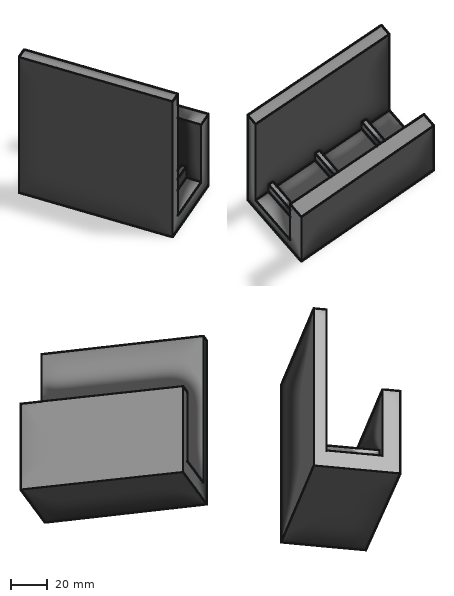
import cadquery as cq

length = 92.0
height = 97.0

front_wall = 7.2
channel_width = 31.0
floor_thickness = 10.0
back_wall_height = 50.9

back_wall_thin = 8.9
back_wall_thick = 10.0

rib_count = 3
rib_thickness = 3.0
rib_height = 8.0
rib_pitch = 32.0
first_rib_x = 16.0

channel_back = front_wall + channel_width


def make_body():
    """Tapered base block with the tall front wall and the open channel."""
    base = (
        cq.Workplane("XY")
        .polyline([
            (0, 0),
            (length, 0),
            (length, channel_back + back_wall_thick),
            (0, channel_back + back_wall_thin),
        ])
        .close()
        .extrude(back_wall_height)
    )
    front = cq.Workplane("XY").box(length, front_wall, height, centered=False)
    channel = (
        cq.Workplane("XY")
        .box(length, channel_width, back_wall_height, centered=False)
        .translate((0, front_wall, floor_thickness))
    )
    return base.union(front).cut(channel)


def make_rib(x):
    """Low rib spanning the channel, starting at the given X."""
    return (
        cq.Workplane("XY")
        .box(rib_thickness, channel_width, rib_height, centered=False)
        .translate((x, front_wall, floor_thickness))
    )


result = make_body()
for index in range(rib_count):
    result = result.union(make_rib(first_rib_x + index * rib_pitch))